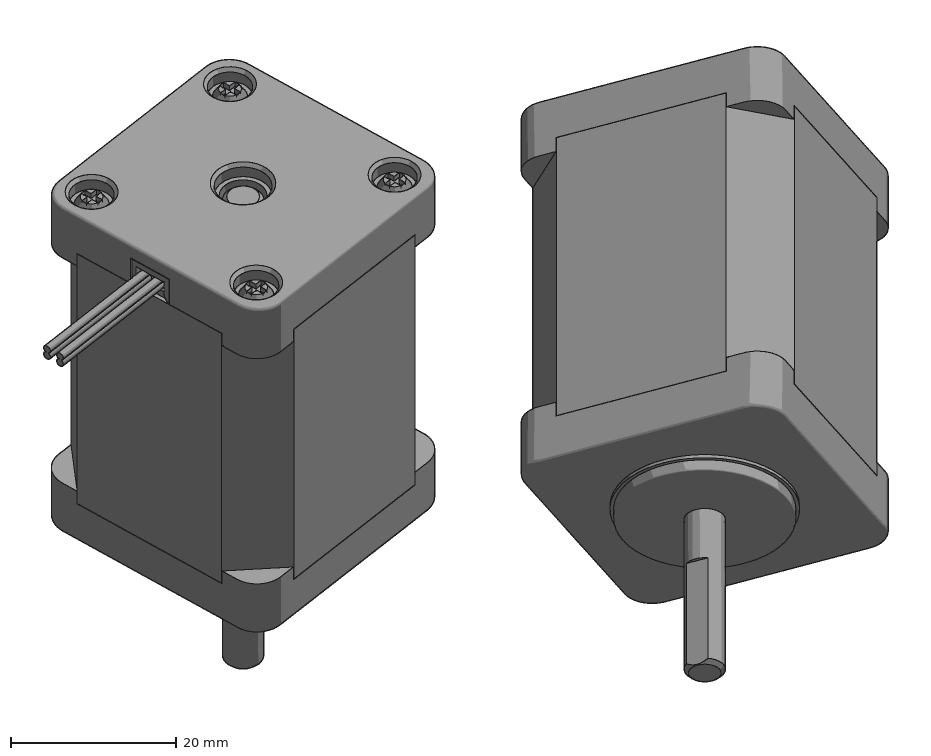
import cadquery as cq


overall_height = 76
overall_depth = 53.2

body_width = 35.2
cap_width = 35.1
body_height = 52.0
cap_height = 8.0
cap_corner_radius = 3.8
cap_edge_fillet = 0.5
core_flat_width = 22.8
core_end_inset = 6.0

boss_diameter = 22.05
boss_height = 2.0
boss_edge_fillet = 0.2
boss_collar_diameter = 22.95
boss_collar_height = 0.45
shaft_diameter = 5.0
shaft_length = overall_height - body_height
shaft_end_chamfer = 0.5
shaft_flat_length = 15.0
shaft_flat_depth = 0.45

bearing_recess_diameter = 7.0
bearing_recess_depth = 2.0
bearing_bore_diameter = 5.8
bearing_bore_depth = 2.3
rear_shaft_gap = 0.15
recess_chamfer = 0.45

screw_spacing = 26.0
screw_recess_diameter = 5.5
screw_recess_depth = 2.0
screw_head_diameter = 4.25
screw_head_top_diameter = 2.7
screw_head_height = 1.2
cross_length = 2.7
cross_arm_width = 0.75
cross_depth = 0.75

socket_width = 6.1
socket_top_inset = 2.05
socket_depth = 0.1
plug_side_gap = 0.2
plug_recess_width = 4.4
plug_recess_depth = 0.9
flare_bottom_width = 5.3
flare_depth = 0.45
lead_diameter = 1.1
lead_column_pitch = 2.05
lead_row_pitch = 1.0
lead_center_inset = 4.0
lead_end_y = body_width / 2 - overall_depth

cap_front_y = -cap_width / 2
bore_bottom_z = body_height - bearing_recess_depth - bearing_bore_depth
core_top_z = body_height - core_end_inset
lead_center_z = body_height - lead_center_inset


def cylinder(diameter, bottom_z, height):
    return cq.Workplane("XY").workplane(offset=bottom_z).circle(diameter / 2).extrude(height)


def make_cap(bottom_z, outer_face):
    cap = cq.Workplane("XY").workplane(offset=bottom_z).rect(cap_width, cap_width).extrude(cap_height)
    cap = cap.edges("|Z").fillet(cap_corner_radius)
    return cap.faces(outer_face).edges().fillet(cap_edge_fillet)


def make_core():
    """Bevelled square bar whose ends are sunk into both caps."""
    bevel = (body_width - core_flat_width) / 2
    length = body_height - 2 * core_end_inset
    core = cq.Workplane("XY").workplane(offset=core_end_inset).rect(body_width, body_width).extrude(length)
    return core.edges("|Z").chamfer(bevel)


def make_boss():
    boss = cylinder(boss_diameter, -boss_height, boss_height).faces("<Z").edges().fillet(boss_edge_fillet)
    collar = cylinder(boss_collar_diameter, -boss_collar_height, boss_collar_height)
    return boss.union(collar)


def make_shaft():
    shaft = cylinder(shaft_diameter, -shaft_length, shaft_length)
    shaft = shaft.faces("<Z").edges().chamfer(shaft_end_chamfer)
    flat_cutter = cq.Workplane("XY").box(
        shaft_diameter, shaft_diameter, shaft_flat_length, centered=(True, False, False)
    )
    flat_y = shaft_diameter / 2 - shaft_flat_depth
    return shaft.cut(flat_cutter.translate((0, flat_y, -shaft_length)))


def make_recess(diameter, depth):
    """Cutter for a round recess in the rear face with a chamfered rim."""
    radius = diameter / 2
    rim_z = body_height - recess_chamfer
    profile = (
        cq.Workplane("XZ")
        .moveTo(0, body_height - depth)
        .lineTo(radius, body_height - depth)
        .lineTo(radius, rim_z)
        .lineTo(radius + recess_chamfer, body_height)
        .lineTo(0, body_height)
        .close()
    )
    return profile.revolve(360, (0, 0, 0), (0, 1, 0))


def make_screw_head():
    bottom_z = body_height - screw_recess_depth
    top_z = bottom_z + screw_head_height
    head = (
        cq.Workplane("XY").workplane(offset=bottom_z).circle(screw_head_diameter / 2)
        .workplane(offset=screw_head_height).circle(screw_head_top_diameter / 2).loft()
    )
    for length, width in ((cross_length, cross_arm_width), (cross_arm_width, cross_length)):
        arm = cq.Workplane("XY").box(length, width, cross_depth)
        head = head.cut(arm.translate((0, 0, top_z - cross_depth / 2)))
    return head


def make_rear_shaft_end():
    end = cylinder(shaft_diameter, bore_bottom_z, bearing_bore_depth - rear_shaft_gap)
    return end.faces(">Z").edges().chamfer(shaft_end_chamfer)


def make_socket():
    """Cutter for the connector socket: a shallow pocket around a plug face with its own recesses."""
    floor_y = cap_front_y + socket_depth
    socket_top_z = body_height - socket_top_inset
    socket = cq.Workplane("XY").box(
        socket_width, socket_depth, socket_top_z - core_top_z, centered=(True, False, False)
    )
    socket = socket.translate((0, cap_front_y, core_top_z))

    plug_recess_height = lead_row_pitch + lead_diameter
    plug_recess = cq.Workplane("XY").box(
        plug_recess_width, plug_recess_depth, plug_recess_height, centered=(True, False, True)
    )
    plug_recess = plug_recess.translate((0, floor_y, lead_center_z))

    flare_top_z = lead_center_z - plug_recess_height / 2
    flare = (
        cq.Workplane("XZ", origin=(0, floor_y, 0))
        .moveTo(-plug_recess_width / 2, flare_top_z)
        .lineTo(plug_recess_width / 2, flare_top_z)
        .lineTo(flare_bottom_width / 2, core_top_z)
        .lineTo(-flare_bottom_width / 2, core_top_z)
        .close()
        .extrude(-flare_depth)
    )
    side_gap = cq.Workplane("XY").box(
        plug_side_gap, plug_recess_depth, socket_top_z - core_top_z, centered=False
    )
    side_gap = side_gap.translate((-socket_width / 2, floor_y, core_top_z))
    return socket.union(plug_recess).union(flare).union(side_gap)


def make_leads():
    """Four leads in two columns; the two in each column merge slightly along their length."""
    root_y = cap_front_y + socket_depth + plug_recess_depth
    leads = cq.Workplane("XZ", origin=(0, root_y, lead_center_z))
    leads = leads.rarray(lead_column_pitch, lead_row_pitch, 2, 2).circle(lead_diameter / 2)
    return leads.extrude(root_y - lead_end_y)


result = make_cap(0, "<Z").union(make_cap(body_height - cap_height, ">Z")).union(make_core())
result = result.union(make_boss()).union(make_shaft())

result = result.cut(make_recess(bearing_recess_diameter, bearing_recess_depth))
result = result.cut(cylinder(bearing_bore_diameter, bore_bottom_z, bearing_bore_depth))
result = result.union(make_rear_shaft_end())

screw_recess = make_recess(screw_recess_diameter, screw_recess_depth)
screw_head = make_screw_head()
for side_x in (-1, 1):
    for side_y in (-1, 1):
        position = (side_x * screw_spacing / 2, side_y * screw_spacing / 2, 0)
        result = result.cut(screw_recess.translate(position))
        result = result.union(screw_head.translate(position))

result = result.cut(make_socket()).union(make_leads())